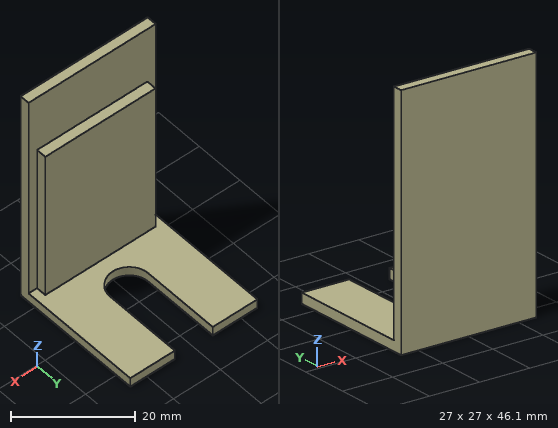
import cadquery as cq

width = 27.0
depth = 27.0
height = 46.1
thickness = 2.0
slot_width = 8.0
slot_length = 19.9
pad_width = 23.4
pad_height = 32.0
pad_thickness = 2.05

slot_radius = slot_width / 2
slot_straight = slot_length - slot_radius


def block_at(size_x, size_y, height_z, start_y, bottom_z):
    """Box centred on X, with its -Y face at start_y and its bottom at bottom_z."""
    block = cq.Workplane("XY").box(size_x, size_y, height_z, centered=(True, False, False))
    return block.translate((0, start_y, bottom_z))


def open_slot():
    """U-shaped cutter through the base, open at the +Y edge."""
    arc_center_y = depth - slot_straight
    return (
        cq.Workplane("XY")
        .moveTo(slot_radius, depth)
        .lineTo(slot_radius, arc_center_y)
        .threePointArc((0, depth - slot_length), (-slot_radius, arc_center_y))
        .lineTo(-slot_radius, depth)
        .close()
        .extrude(thickness)
    )


wall = block_at(width, thickness, height, 0, 0)
base = block_at(width, depth, thickness, 0, 0).cut(open_slot())

pad = block_at(pad_width, pad_thickness, pad_height, thickness, thickness)

result = wall.union(base).union(pad)